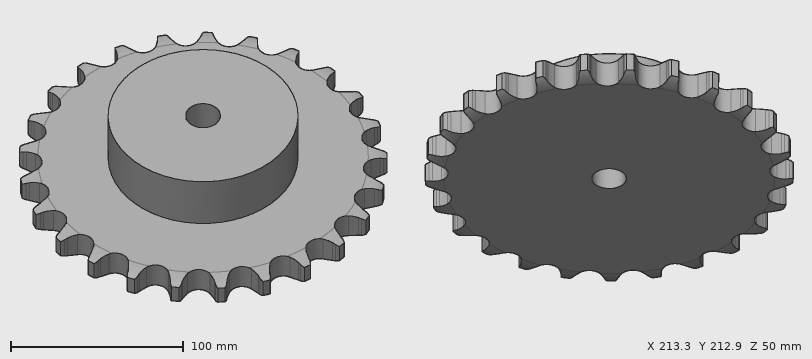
import cadquery as cq
import math

tooth_count = 25
pitch_diameter = 202.6
seat_radius = 7.9
tip_diameter = 213.5
plate_thickness = 16.2

seat_end_angle = 33
flank_end_angle = 22.4
flank_arc_radius = 31.5
tip_corner_start_radius = 104.5
tip_corner_start_half_width = 3.2
tip_half_width = 2.1

side_round_radius = 26.0
flat_face_radius = 95.8

hub_diameter = 110.0
bore_diameter = 20.0
total_height = 50.0

tooth_pitch_angle = 360 / tooth_count
tip_radius = tip_diameter / 2


def make_blank():
    """Turned disc whose rim curves inward on both sides, tangent to the flat faces."""
    rim_width = tip_radius - flat_face_radius
    rim_drop = side_round_radius - math.sqrt(side_round_radius**2 - rim_width**2)
    return (
        cq.Workplane("XZ")
        .lineTo(flat_face_radius, 0)
        .radiusArc((tip_radius, rim_drop), -side_round_radius)
        .lineTo(tip_radius, plate_thickness - rim_drop)
        .radiusArc((flat_face_radius, plate_thickness), -side_round_radius)
        .lineTo(0, plate_thickness)
        .close()
        .revolve(360, (0, 0, 0), (0, 1, 0))
    )


def arc_point(centre, radius, flank_angle):
    """Point on a gap-side arc where its tangent makes the given angle with the gap's centreline."""
    angle = math.radians(flank_angle)
    return centre[0] - radius * math.sin(angle), centre[1] + radius * math.cos(angle)


def tooth_point(radius, half_width):
    """Point on the tooth next to the gap, given its distance from the axis and the half width there."""
    angle = math.radians(tooth_pitch_angle / 2) - math.asin(half_width / radius)
    return radius * math.cos(angle), radius * math.sin(angle)


def make_tooth_gap():
    """Cutter for one gap, with the centreline of the gap on the +X axis."""
    seat_centre = (pitch_diameter / 2, 0)
    seat_bottom = arc_point(seat_centre, seat_radius, 90)
    seat_middle = arc_point(seat_centre, seat_radius, (90 + seat_end_angle) / 2)
    seat_end = arc_point(seat_centre, seat_radius, seat_end_angle)

    flank_centre = arc_point(seat_centre, seat_radius - flank_arc_radius, seat_end_angle)
    flank_middle = arc_point(flank_centre, flank_arc_radius, (seat_end_angle + flank_end_angle) / 2)
    flank_end = arc_point(flank_centre, flank_arc_radius, flank_end_angle)

    corner_start = tooth_point(tip_corner_start_radius, tip_corner_start_half_width)
    corner_end = tooth_point(tip_radius, tip_half_width)
    mouth_x = tip_radius + seat_radius

    half_gap = (
        cq.Workplane("XY")
        .moveTo(*seat_bottom)
        .threePointArc(seat_middle, seat_end)
        .threePointArc(flank_middle, flank_end)
        .lineTo(*corner_start)
        .tangentArcPoint(corner_end, relative=False)
        .lineTo(mouth_x, corner_end[1])
        .lineTo(mouth_x, 0)
        .close()
        .extrude(plate_thickness)
    )
    return half_gap.union(half_gap.mirror("XZ"))


sprocket = make_blank()

tooth_gap = make_tooth_gap()
for index in range(tooth_count):
    sprocket = sprocket.cut(tooth_gap.rotate((0, 0, 0), (0, 0, 1), 90 + index * tooth_pitch_angle))

hub = cq.Workplane("XY").circle(hub_diameter / 2).extrude(total_height)
bore = cq.Workplane("XY").circle(bore_diameter / 2).extrude(total_height)

result = sprocket.union(hub).cut(bore)